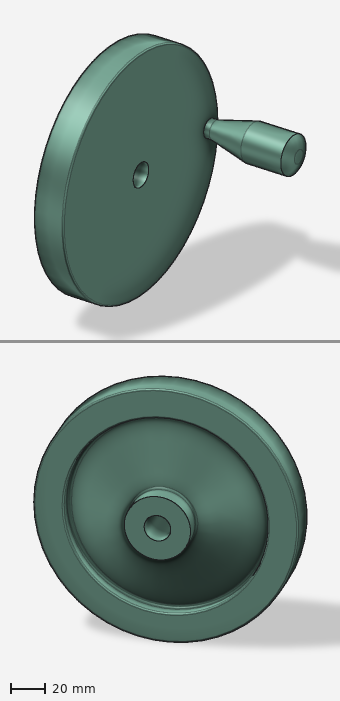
import cadquery as cq
import math

wheel_diameter = 160.0
wheel_depth = 40.0
rim_front = 19.0
rim_inner_diameter = 123.28
rim_edge_radius = 1.0
hub_diameter = 40.0
bore_diameter = 16.0

web_start = 12.0
web_angle = 21.8
web_fillet = 1.75

overall_length = 103.09
handle_offset = (wheel_diameter + rim_inner_diameter) / 4
neck_diameter = 12.48
neck_length = 4.0
grip_diameter = 26.0
grip_start = 71.0
grip_end = 99.3
dome_radius = 22.0


def make_wheel():
    """Turn the hub, conical web and rim in one piece, flat at the back."""
    wheel_radius = wheel_diameter / 2
    rim_inner_radius = rim_inner_diameter / 2
    hub_radius = hub_diameter / 2
    web_rise = (rim_inner_radius - hub_radius) * math.tan(math.radians(web_angle))
    wheel = (
        cq.Workplane("XY")
        .moveTo(0, 0)
        .lineTo(0, hub_radius)
        .lineTo(web_start, hub_radius)
        .lineTo(web_start + web_rise, rim_inner_radius)
        .lineTo(rim_front, rim_inner_radius)
        .lineTo(rim_front, wheel_radius)
        .lineTo(wheel_depth, wheel_radius)
        .lineTo(wheel_depth, 0)
        .close()
        .revolve(360, (0, 0, 0), (1, 0, 0))
    )
    wheel = wheel.faces("%CONE").edges().fillet(web_fillet)
    return wheel.faces("%PLANE").faces(">X or >X[-2]").edges().fillet(rim_edge_radius)


def make_handle():
    """Turn the neck, tapered shank and domed grip with its small flat tip."""
    neck_radius = neck_diameter / 2
    grip_radius = grip_diameter / 2
    dome_centre = grip_end - math.sqrt(dome_radius**2 - grip_radius**2)
    tip_radius = math.sqrt(dome_radius**2 - (overall_length - dome_centre) ** 2)
    middle_radius = (grip_radius + tip_radius) / 2
    dome_middle = (dome_centre + math.sqrt(dome_radius**2 - middle_radius**2), middle_radius)
    return (
        cq.Workplane("XY")
        .moveTo(wheel_depth, 0)
        .lineTo(wheel_depth, neck_radius)
        .lineTo(wheel_depth + neck_length, neck_radius)
        .lineTo(grip_start, grip_radius)
        .lineTo(grip_end, grip_radius)
        .threePointArc(dome_middle, (overall_length, tip_radius))
        .lineTo(overall_length, 0)
        .close()
        .revolve(360, (0, 0, 0), (1, 0, 0))
        .translate((0, handle_offset, 0))
    )


def make_bore():
    """Cylinder that clears the hub right through the wheel."""
    return cq.Workplane("YZ").circle(bore_diameter / 2).extrude(wheel_depth)


result = make_wheel().cut(make_bore()).union(make_handle())